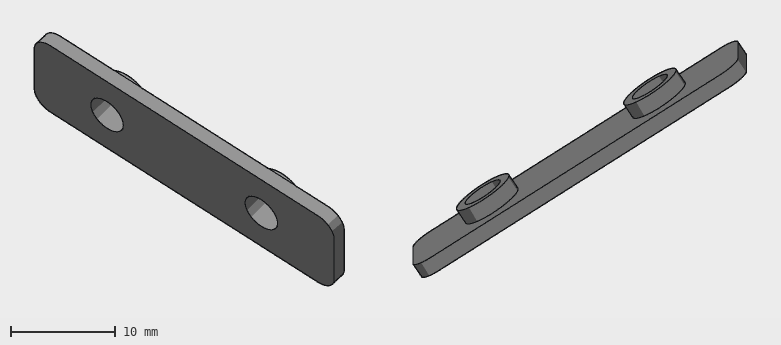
import cadquery as cq

length = 37.0
height = 10.0
plate_thickness = 1.5
corner_radius = 2.0

total_depth = 3.1
boss_diameter = 6.0
hole_diameter = 4.0
first_hole_from_end = 9.0
hole_spacing = 19.0

first_hole_x = first_hole_from_end - length / 2
hole_centers = [(first_hole_x, 0), (first_hole_x + hole_spacing, 0)]


def extrude_back(sketch, depth):
    """Extrude an XZ sketch from the front face toward +Y."""
    return sketch.extrude(-depth)


plate = extrude_back(cq.Workplane("XZ").rect(length, height), plate_thickness)
plate = plate.edges("|Y").fillet(corner_radius)

bosses = extrude_back(cq.Workplane("XZ").pushPoints(hole_centers).circle(boss_diameter / 2), total_depth)
holes = extrude_back(cq.Workplane("XZ").pushPoints(hole_centers).circle(hole_diameter / 2), total_depth)

result = plate.union(bosses).cut(holes)